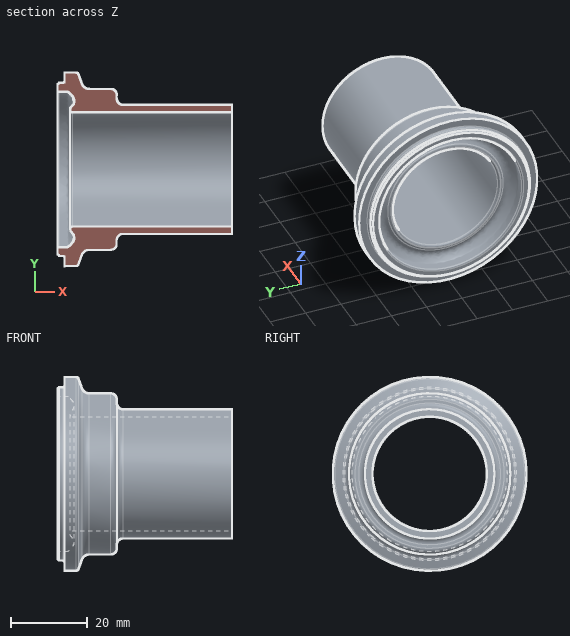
import cadquery as cq
import math

total_length = 45.5
bore_radius = 29.7 / 2
tube_radius = 33.7 / 2
collar_radius = 42 / 2
flange_radius = 50.5 / 2

rim_depth = 1.85
rim_radius = 22.6
rim_chamfer = 0.5
rim_root_fillet = 0.4

flange_round_start = 4.8
flange_round = 0.8
flange_slope = math.radians(20)
collar_start = 8.3
collar_fillet = 2.0

shoulder_x = 15.5
shoulder_fillet = 1.6

mouth_wall_radius = 20.2
mouth_round = 0.4
mouth_face_radius = mouth_wall_radius + mouth_round

lip_crest_x = 3.3
lip_crest_radius = 15.6
lip_inner_round = 0.6
lip_outer_round = 1.0
lip_outer_turn = math.radians(48)

groove_floor_x = 4.2
groove_floor_radius = 18.6
groove_wall_x = 3.2
groove_wall_radius = 19.8


def arc_point(center, radius, angle):
    """Point on a circle in the half plane of axial position and radius."""
    return (center[0] + radius * math.cos(angle), center[1] + radius * math.sin(angle))


def arc_from_end(profile, center, radius, start_angle, end_angle):
    """Continue along a circle from the profile's end, which lies at the start angle."""
    return profile.threePointArc(
        arc_point(center, radius, (start_angle + end_angle) / 2),
        arc_point(center, radius, end_angle),
    )


def add_arc(profile, center, radius, start_angle, end_angle):
    """Run straight to the start of a circular arc and follow the arc to its end."""
    profile = profile.lineTo(*arc_point(center, radius, start_angle))
    return arc_from_end(profile, center, radius, start_angle, end_angle)


def add_rim(profile):
    """Trace the sealing rim from the front face to the flange."""
    root_center = (rim_depth - rim_root_fillet, rim_radius + rim_root_fillet)
    profile = profile.lineTo(0, rim_radius - rim_chamfer)
    profile = profile.lineTo(rim_chamfer, rim_radius)
    return add_arc(profile, root_center, rim_root_fillet, -math.pi / 2, 0)


def add_flange(profile):
    """Trace the flange and its sloping back down to the collar."""
    edge_center = (flange_round_start, flange_radius - flange_round)
    foot_center = (collar_start, collar_radius + collar_fillet)
    profile = profile.lineTo(rim_depth, flange_radius)
    profile = add_arc(profile, edge_center, flange_round, math.pi / 2, flange_slope)
    return add_arc(
        profile, foot_center, collar_fillet, math.pi + flange_slope, 1.5 * math.pi
    )


def add_collar_and_tube(profile):
    """Trace the collar, the filleted shoulder and the tube, then the tube end."""
    edge_center = (shoulder_x - shoulder_fillet, collar_radius - shoulder_fillet)
    foot_center = (shoulder_x + shoulder_fillet, tube_radius + shoulder_fillet)
    profile = add_arc(profile, edge_center, shoulder_fillet, math.pi / 2, 0)
    profile = add_arc(profile, foot_center, shoulder_fillet, math.pi, 1.5 * math.pi)
    return profile.lineTo(total_length, tube_radius).lineTo(total_length, bore_radius)


def add_lip(profile):
    """Trace the bore and the rounded lip at its front end."""
    inner_center = (lip_crest_x + lip_inner_round, bore_radius + lip_inner_round)
    outer_center = (lip_crest_x + lip_outer_round, lip_crest_radius)
    profile = add_arc(profile, inner_center, lip_inner_round, 1.5 * math.pi, math.pi)
    return add_arc(
        profile, outer_center, lip_outer_round, math.pi, math.pi - lip_outer_turn
    )


def add_groove(profile):
    """Trace the curved groove, running smoothly from the lip to the mouth."""
    lip_direction = (math.sin(lip_outer_turn), math.cos(lip_outer_turn))
    profile = profile.spline(
        [
            (groove_floor_x, groove_floor_radius),
            (groove_wall_x, groove_wall_radius),
            (mouth_round, mouth_wall_radius),
        ],
        tangents=[lip_direction, (-1, 0)],
        includeCurrent=True,
    )
    mouth_center = (mouth_round, mouth_face_radius)
    return arc_from_end(profile, mouth_center, mouth_round, 1.5 * math.pi, math.pi)


profile = cq.Workplane("XY").moveTo(0, mouth_face_radius)
for add_section in (add_rim, add_flange, add_collar_and_tube, add_lip, add_groove):
    profile = add_section(profile)
result = profile.close().revolve(360, (0, 0, 0), (1, 0, 0))